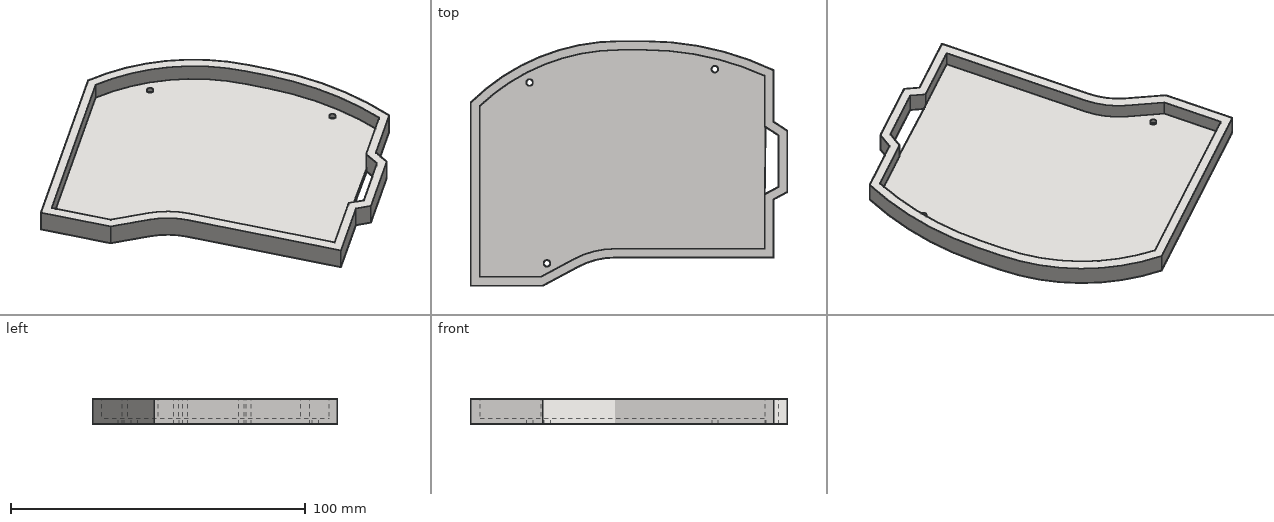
import cadquery as cq
import math

length = 107.4
width = 83.0
height = 8.6
wall = 3.0
floor_thickness = 2.0
hole_diameter = 2.1

foot_length = 24.5
step_rise = 9.6
ramp_angle = math.radians(28.2)
ramp_radius = 26.4

body_right = 102.7
handle_root_low = 29.3
handle_grip_low = 31.8
handle_grip_high = 52.6
handle_root_high = 55.6
right_top = 73.1

flat_start = 50.7
flat_end = 58.9
left_top = 62.2

floor_edge_low = body_right - wall
floor_edge_slant = 0.3

hole_centers = [(20.0, 68.9), (82.8, 73.4), (25.9, 7.6)]


def crown_radius(run, drop):
    """Radius of an arc that starts level and drops by a given amount over a run."""
    return (run**2 + drop**2) / (2 * drop)


def arc_drop(radius, run):
    """Drop of a crown arc at a horizontal distance from its level end."""
    return radius - math.sqrt(radius**2 - run**2)


def miter_shift(inset, angle):
    """Shift along a straight side where it meets an inset side turned by an angle."""
    return inset * math.tan(angle / 2)


def tray_outline(inset):
    """Closed tray outline with every side moved inward by the inset."""
    top = width - inset
    right = body_right - inset
    grip = length - inset

    foot_x = foot_length - miter_shift(inset, ramp_angle)
    step_y = step_rise + inset
    bend_radius = ramp_radius + inset
    bend_end_x = foot_length + step_rise / math.tan(ramp_angle) + ramp_radius * math.tan(ramp_angle / 2)

    def bend_point(angle):
        return (
            bend_end_x - bend_radius * math.sin(angle),
            step_y - bend_radius * (1 - math.cos(angle)),
        )

    handle_reach = length - body_right
    low_turn = math.atan2(handle_reach, handle_grip_low - handle_root_low)
    high_turn = math.atan2(handle_reach, handle_root_high - handle_grip_high)
    low_shift = miter_shift(inset, low_turn)
    high_shift = miter_shift(inset, high_turn)

    right_radius = crown_radius(body_right - flat_end, width - right_top) - inset
    right_run = right - flat_end
    right_middle = (flat_end + right_run / 2, top - arc_drop(right_radius, right_run / 2))
    right_end = (right, top - arc_drop(right_radius, right_run))

    left_radius = crown_radius(flat_start, width - left_top) - inset
    left_run = flat_start - inset
    left_middle = (flat_start - left_run / 2, top - arc_drop(left_radius, left_run / 2))
    left_end = (inset, top - arc_drop(left_radius, left_run))

    return (
        cq.Workplane("XY")
        .moveTo(inset, inset)
        .lineTo(foot_x, inset)
        .lineTo(*bend_point(ramp_angle))
        .threePointArc(bend_point(ramp_angle / 2), bend_point(0))
        .lineTo(right, step_y)
        .lineTo(right, handle_root_low + low_shift)
        .lineTo(grip, handle_grip_low + low_shift)
        .lineTo(grip, handle_grip_high - high_shift)
        .lineTo(right, handle_root_high - high_shift)
        .lineTo(*right_end)
        .threePointArc(right_middle, (flat_end, top))
        .lineTo(flat_start, top)
        .threePointArc(left_middle, left_end)
        .close()
    )


def handle_slot(inside):
    """Part of the inside space lying beyond the floor edge."""
    beyond_floor = (
        cq.Workplane("XY")
        .moveTo(floor_edge_low, handle_root_low)
        .lineTo(length, handle_root_low)
        .lineTo(length, handle_root_high)
        .lineTo(floor_edge_low + floor_edge_slant, handle_root_high)
        .close()
        .extrude(height)
    )
    return inside.intersect(beyond_floor)


def floor_holes():
    """Three small holes through the floor."""
    return cq.Workplane("XY").pushPoints(hole_centers).circle(hole_diameter / 2).extrude(height)


inside = tray_outline(wall).extrude(height)
pocket = tray_outline(wall).extrude(height).translate((0, 0, floor_thickness))

result = tray_outline(0).extrude(height).cut(pocket).cut(handle_slot(inside)).cut(floor_holes())